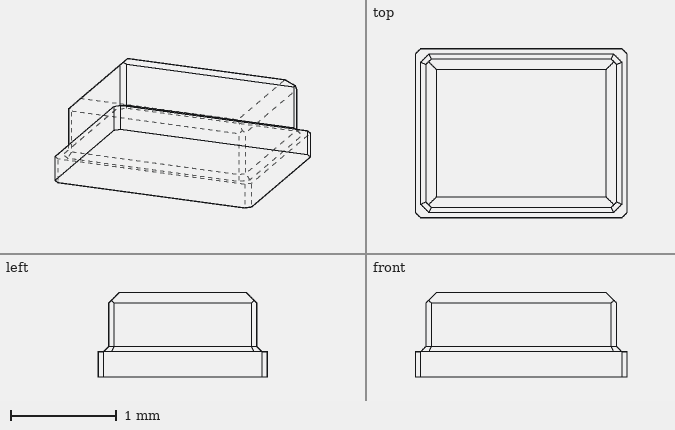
import cadquery as cq
import math

base_length = 2.0
base_width = 1.6
base_height = 0.24
base_corner_chamfer = 0.05

total_height = 0.8
lid_inset = 0.1
lid_length = base_length - 2 * lid_inset
lid_width = base_width - 2 * lid_inset
lid_height = total_height - base_height
lid_corner_chamfer = 0.05
lid_top_chamfer = 0.1

skirt_size = 0.05
skirt_corner_chamfer = lid_corner_chamfer + skirt_size * (2 - math.sqrt(2))


def make_base():
    """Flat plate with chamfered vertical corners."""
    plate = cq.Workplane("XY").box(base_length, base_width, base_height, centered=(True, True, False))
    return plate.edges("|Z").chamfer(base_corner_chamfer)


def make_lid():
    """Block with chamfered vertical corners and a chamfered top rim."""
    block = cq.Workplane("XY", origin=(0, 0, base_height))
    block = block.box(lid_length, lid_width, lid_height, centered=(True, True, False))
    return block.faces(">Z").chamfer(lid_top_chamfer).edges("|Z").chamfer(lid_corner_chamfer)


def cut_corner_outline(plane, length, width, corner):
    """Rectangle with its four corners cut off at 45 degrees."""
    x = length / 2
    y = width / 2
    points = [
        (x, y - corner),
        (x - corner, y),
        (corner - x, y),
        (-x, y - corner),
        (-x, corner - y),
        (corner - x, -y),
        (x - corner, -y),
        (x, corner - y),
    ]
    return plane.polyline(points).close()


def make_skirt():
    """Tapered frustum from the wider outline on the base up to the lid walls."""
    bottom = cut_corner_outline(
        cq.Workplane("XY", origin=(0, 0, base_height)),
        lid_length + 2 * skirt_size,
        lid_width + 2 * skirt_size,
        skirt_corner_chamfer,
    )
    top_plane = bottom.workplane(offset=skirt_size)
    foot = cut_corner_outline(top_plane, lid_length, lid_width, lid_corner_chamfer)
    return foot.loft(ruled=True)


result = make_base().union(make_lid()).union(make_skirt())